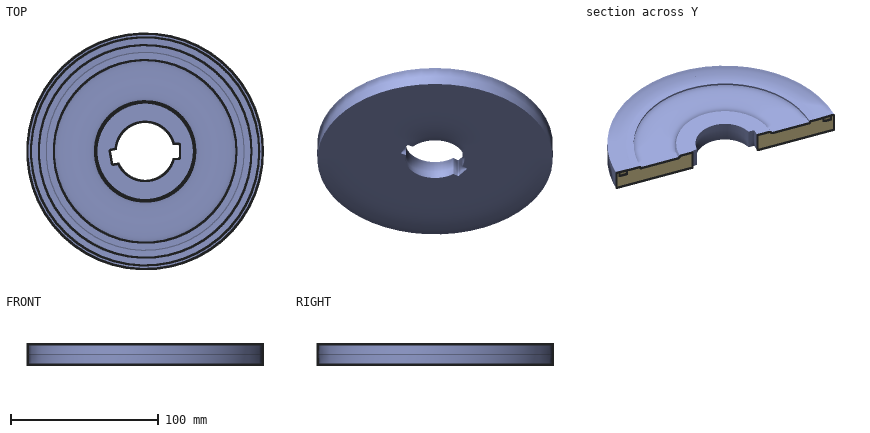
import cadquery as cq
import math

outer_radius = 80.0
wheel_height = 14.0
split_height = wheel_height / 2

rim_taper_angle = 1.0
rim_end_radius = outer_radius - split_height * math.tan(math.radians(rim_taper_angle))
lip_outer_radius = 67.2
lip_drop = 0.4
lip_height = wheel_height - lip_drop

inlay_outer_radius = 77.4
inlay_inner_radius = 72.1
inlay_depth = 3.5
inlay_floor_height = wheel_height - inlay_depth

web_radius = 124.0 / 2
web_height = 12.3

hub_base_radius = 34.0
hub_top_radius = 33.1
bore_radius = 20.0

keyway_width = 10.0
keyway_reach = 23.5
keyway_corner_radius = 0.8
keyway_angles = (0, 190)


def revolve_profile(points):
    """Turn a closed (radius, height) outline about the Z axis."""
    return cq.Workplane("XZ").polyline(points).close().revolve(360, (0, 0, 0), (0, 1, 0))


def make_keyway(angle):
    """Cutter for one keyway running through the bore at the given angle about Z."""
    return (
        cq.Workplane("XY")
        .box(keyway_reach, keyway_width, wheel_height, centered=(False, True, False))
        .edges("|Z and >X")
        .fillet(keyway_corner_radius)
        .rotate((0, 0, 0), (0, 0, 1), angle)
    )


def rim_top_height(radius):
    """Height of the conical rim top at a radius."""
    return wheel_height - lip_drop * (rim_end_radius - radius) / (rim_end_radius - lip_outer_radius)


def make_inlay_ring():
    """Ring that fills the rim groove, its top following the slope of the rim."""
    return revolve_profile([
        (inlay_inner_radius, inlay_floor_height),
        (inlay_outer_radius, inlay_floor_height),
        (inlay_outer_radius, rim_top_height(inlay_outer_radius)),
        (inlay_inner_radius, rim_top_height(inlay_inner_radius)),
    ])


def make_wheel():
    """Disc with a keyed hub, a recessed web and a rim grooved for the inlay ring."""
    wheel = revolve_profile([
        (bore_radius, 0),
        (rim_end_radius, 0),
        (outer_radius, split_height),
        (rim_end_radius, wheel_height),
        (inlay_outer_radius, rim_top_height(inlay_outer_radius)),
        (inlay_outer_radius, inlay_floor_height),
        (inlay_inner_radius, inlay_floor_height),
        (inlay_inner_radius, rim_top_height(inlay_inner_radius)),
        (lip_outer_radius, lip_height),
        (web_radius, lip_height),
        (web_radius, web_height),
        (hub_base_radius, web_height),
        (hub_top_radius, wheel_height),
        (bore_radius, wheel_height),
    ])
    for angle in keyway_angles:
        wheel = wheel.cut(make_keyway(angle))
    return wheel


wheel = make_wheel()
inlay_ring = make_inlay_ring()

result = cq.Compound.makeCompound([wheel.val(), inlay_ring.val()])